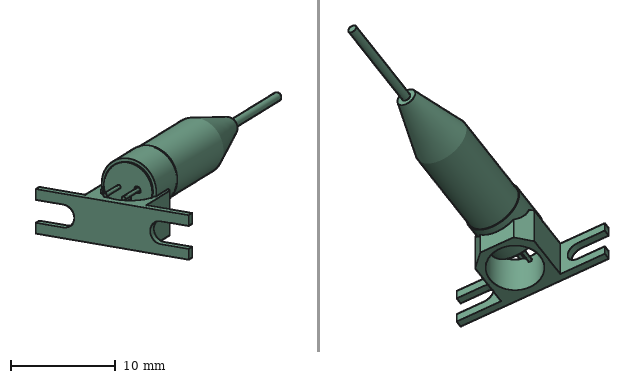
import cadquery as cq


plate_width = 16.5
plate_thickness = 0.75
bracket_height = 4.5
bracket_top = -0.4
bracket_middle = bracket_top - bracket_height / 2
cradle_width = 6.6
cradle_depth = 7.0
cradle_chamfer = 1.45
slot_height = 2.3
slot_web = 8.2
relief_diameter = 5.6
relief_front = 0.85

stem_diameter = 5.2
stem_front = 3.25
stem_protrusion = 0.2
stem_length = 1.0
sleeve_diameter = 5.9
sleeve_front = stem_front + stem_protrusion
sleeve_rear = 7.75
boot_diameter = 5.7
boot_cone_start = 17.35
boot_rear = 23.75
boot_tip_diameter = 2.0
fiber_diameter = 0.9
fiber_length = 10.0

pin_diameter = 0.4
pin_front = 0.45
pin_circle_radius = 1.0
insulation_diameter = 0.7
insulation_depth = 0.2
case_pin = (-pin_circle_radius, 0)
side_pin = (pin_circle_radius, 0)
lower_pin = (0, -pin_circle_radius)
insulated_pins = [side_pin, lower_pin]


def rod(diameter, front, rear, x=0, z=0):
    """Solid cylinder parallel to Y, from Y = front to Y = rear."""
    plane = cq.Workplane("XZ", origin=(x, front, z))
    return plane.circle(diameter / 2).extrude(front - rear)


def make_pin(place, rear):
    x, z = place
    return rod(pin_diameter, pin_front, rear, x, z)


def make_bracket():
    top = cq.Workplane("XY", origin=(0, 0, bracket_top))
    plate = top.rect(plate_width, 2 * plate_thickness).extrude(-bracket_height)
    cradle = top.rect(cradle_width, 2 * cradle_depth).extrude(-bracket_height)
    cradle = cradle.edges("|Z and >Y").chamfer(cradle_chamfer)
    front_half = top.rect(plate_width, 2 * cradle_depth).extrude(-bracket_height)
    body = plate.union(cradle).cut(front_half.translate((0, -cradle_depth, 0)))

    slot_length = plate_width - slot_web
    slots = (
        cq.Workplane("XZ", origin=(0, 0, bracket_middle))
        .pushPoints([(-plate_width / 2, 0), (plate_width / 2, 0)])
        .slot2D(slot_length, slot_height)
        .extrude(-plate_thickness)
    )
    body = body.cut(slots)

    relief = (
        top.center(0, relief_front + relief_diameter / 2)
        .circle(relief_diameter / 2)
        .extrude(-bracket_height)
    )
    body = body.cut(relief)

    body = body.cut(rod(sleeve_diameter, sleeve_front, cradle_depth))
    return body.cut(make_pin(lower_pin, stem_front))


def make_stem():
    stem = rod(stem_diameter, stem_front, stem_front + stem_length)
    for x, z in insulated_pins:
        stem = stem.cut(rod(insulation_diameter, stem_front, stem_front + insulation_depth, x, z))
    return stem


def make_sleeve():
    sleeve = rod(sleeve_diameter, sleeve_front, sleeve_rear)
    return sleeve.cut(rod(stem_diameter, stem_front, stem_front + stem_length))


def make_boot():
    profile = [
        (0, sleeve_rear),
        (boot_diameter / 2, sleeve_rear),
        (boot_diameter / 2, boot_cone_start),
        (boot_tip_diameter / 2, boot_rear),
        (0, boot_rear),
    ]
    return cq.Workplane("XY").polyline(profile).close().revolve(360, (0, 0, 0), (0, 1, 0))


bracket = make_bracket()
stem = make_stem()
sleeve = make_sleeve()
boot = make_boot()
fiber = rod(fiber_diameter, boot_rear, boot_rear + fiber_length)

pins = [make_pin(case_pin, stem_front)]
for place in insulated_pins:
    pins.append(make_pin(place, stem_front + insulation_depth))

bodies = [bracket, stem, sleeve, boot, fiber, *pins]
result = cq.Compound.makeCompound([body.val() for body in bodies])